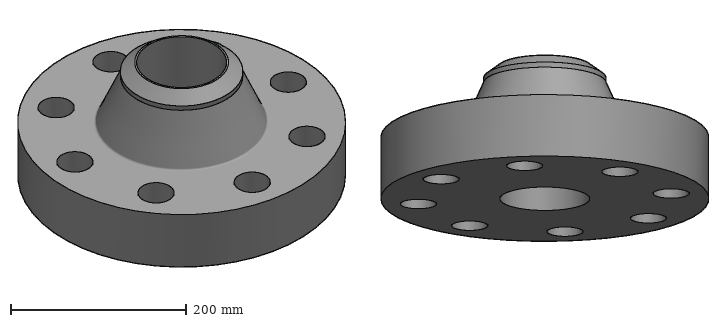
import cadquery as cq

plate_diameter = 374.5
plate_thickness = 72.5

total_height = 155.5
neck_root_radius = 98.0
neck_radius = 70.0
neck_band_height = 6.0
root_fillet_radius = 3.0

bore_diameter = 102.5
bevel_height = 12.7
bevel_land = 2.2

bolt_hole_count = 8
bolt_hole_diameter = 41.2
bolt_circle_diameter = 292.0

band_top = total_height - bevel_height
band_bottom = band_top - neck_band_height
bevel_top_radius = bore_diameter / 2 + bevel_land


def make_plate():
    """Round flange plate resting on the XY plane."""
    return cq.Workplane("XY").circle(plate_diameter / 2).extrude(plate_thickness)


def make_neck():
    """Tapered neck ending in a short straight band and a weld bevel."""
    return (
        cq.Workplane("XZ")
        .moveTo(0, 0)
        .lineTo(neck_root_radius, 0)
        .lineTo(neck_root_radius, plate_thickness)
        .lineTo(neck_radius, band_bottom)
        .lineTo(neck_radius, band_top)
        .lineTo(bevel_top_radius, total_height)
        .lineTo(0, total_height)
        .close()
        .revolve(360, (0, 0, 0), (0, 1, 0))
    )


def fillet_neck_root(body):
    """Round the inside corner between the plate and the neck."""
    root_reach = neck_root_radius + root_fillet_radius
    root_zone = cq.selectors.BoxSelector(
        (-root_reach, -root_reach, plate_thickness - root_fillet_radius),
        (root_reach, root_reach, plate_thickness + root_fillet_radius),
        boundingbox=True,
    )
    return body.edges("%CIRCLE").edges(root_zone).fillet(root_fillet_radius)


def make_bore():
    """Through bore along the Z axis."""
    return cq.Workplane("XY").circle(bore_diameter / 2).extrude(total_height)


def make_bolt_holes():
    """Through holes evenly spaced on the bolt circle, the first on +X."""
    return (
        cq.Workplane("XY")
        .polarArray(bolt_circle_diameter / 2, 0, 360, bolt_hole_count)
        .circle(bolt_hole_diameter / 2)
        .extrude(plate_thickness)
    )


body = fillet_neck_root(make_plate().union(make_neck()))
result = body.cut(make_bore()).cut(make_bolt_holes())